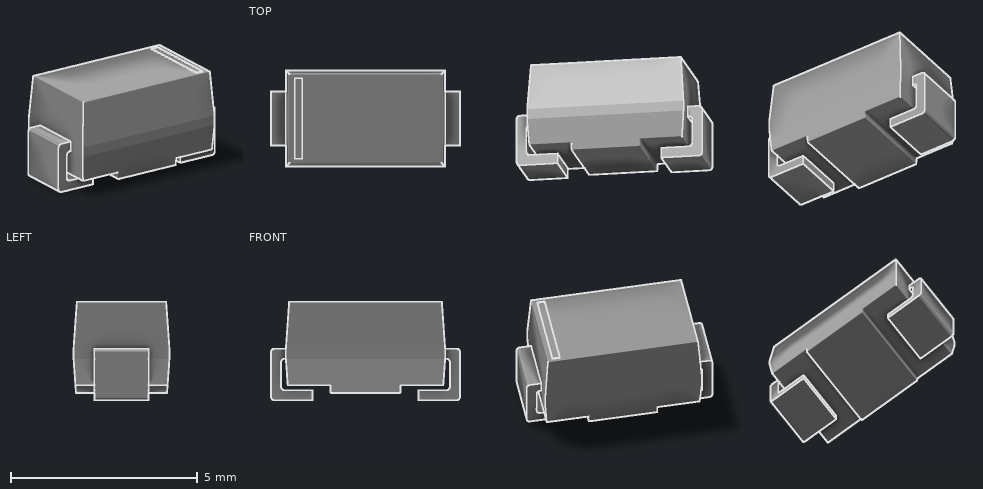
import cadquery as cq
import math

LENGTH = 5.08
HEIGHT = 2.65

LEAD_THICKNESS = 0.275
LEAD_WIDTH = 1.455
LEAD_TOP = 1.39
FOOT_LENGTH = 1.125
BEND_RADIUS = 0.095

BELT_LENGTH = 4.28
BELT_WIDTH = 2.58
BELT_TOP = LEAD_TOP
BELT_BOTTOM = LEAD_TOP - LEAD_THICKNESS
DRAFT_ANGLE = 4.0
UNDERSIDE = 0.4
STANDOFF_BOTTOM = 0.2
STANDOFF_LENGTH = 1.88
EDGE_RADIUS = 0.02

BAND_LENGTH = 0.205
BAND_WIDTH = 2.165
BAND_CENTRE_X = -1.805
BAND_DEPTH = 0.025

SELECTION_MARGIN = 0.005


def drafted_half_size(belt_size, z):
    """Half the housing size at height z, narrowing away from the belt at the draft angle."""
    distance = max(z - BELT_TOP, BELT_BOTTOM - z, 0)
    return belt_size / 2 - distance * math.tan(math.radians(DRAFT_ANGLE))


def housing_profile(plane, belt_size):
    """Drafted outline symmetric about the Z axis, from the standoff to the housing top."""
    levels = [STANDOFF_BOTTOM, BELT_BOTTOM, BELT_TOP, HEIGHT]
    right = [(drafted_half_size(belt_size, z), z) for z in levels]
    left = [(-x, z) for x, z in reversed(right)]
    return cq.Workplane(plane).polyline(right + left).close()


def make_band():
    band = cq.Workplane("XY").box(BAND_LENGTH, BAND_WIDTH, BAND_DEPTH)
    return band.translate((BAND_CENTRE_X, 0, HEIGHT - BAND_DEPTH / 2))


def make_housing(band):
    length_profile = housing_profile("XZ", BELT_LENGTH)
    width_profile = housing_profile("YZ", BELT_WIDTH)
    block = length_profile.extrude(BELT_WIDTH / 2, both=True)
    block = block.intersect(width_profile.extrude(BELT_LENGTH / 2, both=True))

    relief_length = (LENGTH - STANDOFF_LENGTH) / 2
    relief_centre = (LENGTH + STANDOFF_LENGTH) / 4
    relief = (
        cq.Workplane("XY", origin=(0, 0, UNDERSIDE))
        .pushPoints([(-relief_centre, 0), (relief_centre, 0)])
        .rect(relief_length, BELT_WIDTH)
        .extrude(STANDOFF_BOTTOM - UNDERSIDE)
    )
    block = block.cut(relief)

    below_underside = cq.selectors.BoxSelector(
        (-LENGTH, -LENGTH, 0), (LENGTH, LENGTH, UNDERSIDE + SELECTION_MARGIN)
    )
    block = block.edges(below_underside).fillet(EDGE_RADIUS)
    block = block.faces(">Z").edges().fillet(EDGE_RADIUS)
    return block.cut(band)


def make_lead(side):
    """C-shaped lead butting against the belt; side is -1 or +1 along X."""
    outer = LENGTH / 2
    inner = outer - LEAD_THICKNESS
    shoulder_end = BELT_LENGTH / 2
    foot_end = outer - FOOT_LENGTH
    outline = [
        (shoulder_end, LEAD_TOP),
        (outer, LEAD_TOP),
        (outer, 0),
        (foot_end, 0),
        (foot_end, LEAD_THICKNESS),
        (inner, LEAD_THICKNESS),
        (inner, BELT_BOTTOM),
        (shoulder_end, BELT_BOTTOM),
    ]
    points = [(side * x, z) for x, z in outline]
    lead = cq.Workplane("XZ").polyline(points).close().extrude(LEAD_WIDTH / 2, both=True)

    bend_reach = LEAD_THICKNESS + SELECTION_MARGIN
    bends = cq.selectors.BoxSelector(
        (side * (outer - bend_reach), -LEAD_WIDTH, -SELECTION_MARGIN),
        (side * (outer + SELECTION_MARGIN), LEAD_WIDTH, HEIGHT),
    )
    return lead.edges("|Y").edges(bends).fillet(BEND_RADIUS)


polarity_band = make_band()
housing = make_housing(polarity_band)
leads = [make_lead(side) for side in (-1, 1)]

result = cq.Compound.makeCompound(
    [housing.val(), polarity_band.val(), *[lead.val() for lead in leads]]
)